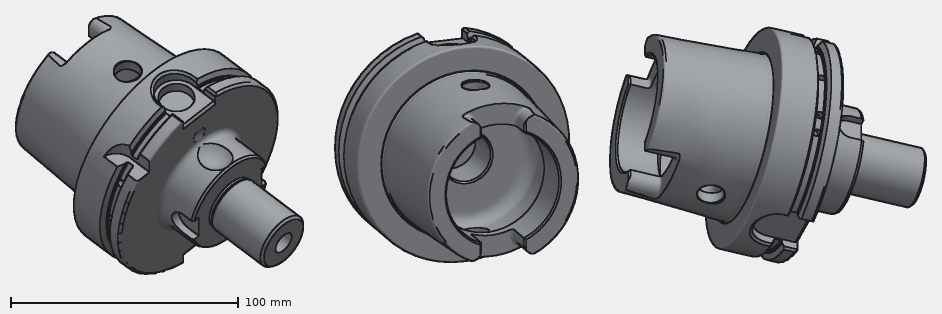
import cadquery as cq
import math

ARC_IN = 1 - math.sqrt(0.5)
ARC_OUT = math.sqrt(0.5)

TAPER_END = 48.0
FLANGE_FACE = 49.9
FLANGE_BACK = 79.0
COLLAR_END = 98.0
TOTAL_LENGTH = 131.0

FLANGE_DIAMETER = 100.0
FLANGE_R = FLANGE_DIAMETER / 2
TAPER_TIP_R = 35.5
TAPER_SLOPE = 0.05
COLLAR_R = 24.0
SHANK_R = 13.5

TIP_ROUND = 0.9
UNDERCUT_R = 37.7
UNDERCUT_START = 48.7
UNDERCUT_FACE_R = 38.8
UNDERCUT_FACE_DEPTH = 0.3
UNDERCUT_ROUND = 0.7

BACK_RIM_ROUND = 1.2
FRONT_RIM_ROUND = 1.0
GROOVE_CENTER = 69.8
GROOVE_TOP_HALF = 3.1
GROOVE_WALL_HALF = 2.0
GROOVE_FLOOR_HALF = 1.5
GROOVE_WALL_R = 47.2
GROOVE_FLOOR_R = 46.0

COLLAR_FILLET = 2.9
EDGE_CHAMFER = 1.2
COLLAR_CHAMFER = 0.7
NECK_R = 13.1
NECK_LENGTH = 1.3
NECK_RUNOUT_END = 2.2

BORE_R = 26.5
BORE_CHAMFER = 0.8
SHOULDER_X = 19.5
RELIEF_R = 31.5
SHOULDER_ANGLE = 30.0
RELIEF_END = 39.5
FLOOR_FILLET = 5.9
SOCKET_R = 11.3
SOCKET_CHAMFER = 0.8
SOCKET_DEPTH = 19.6
THROUGH_R = 5.1
THROUGH_CHAMFER = 1.2

DRIVE_HALF_WIDTH = 10.0
DRIVE_TOP_DEPTH = 10.0
DRIVE_BOTTOM_DEPTH = 14.9
DRIVE_SIDE_ROUND = 5.0
DRIVE_SIDE_ROUND_START = 27.2
DRIVE_FLOOR_FILLET = 1.6
DRIVE_TIP_CHAMFER = 0.8

CLAMP_HOLE_X = 34.7
CLAMP_HOLE_R = 6.0
CLAMP_HOLE_CHAMFER = 0.4

KEY_CENTER_X = 64.8
KEY_HALF_WIDTH = 10.1
KEY_FLOOR_R = 44.0
KEY_CHAMFER = 1.2
POCKET_R = 8.0
POCKET_DEPTH = 5.0

NOTCH_OFFSET = 31.3
NOTCH_R = 9.2
NOTCH_CENTER_X = 67.5

SMALL_HOLE_R = 1.6
SMALL_HOLE_DEPTH = 3.9
SMALL_HOLE_TIP = 0.9
SMALL_HOLE_ANGLES = (30.2, 5.1, -19.5, -29.7)

COLLAR_SLOT_HALF = 6.2
COLLAR_SLOT_CENTER_X = 91.7
COLLAR_SLOT_FLOOR = 19.6
DIMPLE_X = 88.8
DIMPLE_R = 10.5
DIMPLE_CENTER_Z = 30.5


def taper_radius(x):
    return TAPER_TIP_R + TAPER_SLOPE * x


def make_outside():
    undercut_end = FLANGE_FACE + UNDERCUT_FACE_DEPTH
    groove_step_r = GROOVE_FLOOR_R + GROOVE_WALL_HALF - GROOVE_FLOOR_HALF
    profile = (
        cq.Workplane("XY")
        .moveTo(0, 0)
        .lineTo(0, TAPER_TIP_R - TIP_ROUND)
        .threePointArc(
            (TIP_ROUND * ARC_IN, TAPER_TIP_R - TIP_ROUND * ARC_IN),
            (TIP_ROUND, taper_radius(TIP_ROUND)),
        )
        .lineTo(TAPER_END, taper_radius(TAPER_END))
        .lineTo(UNDERCUT_START, UNDERCUT_R)
        .lineTo(undercut_end - UNDERCUT_ROUND, UNDERCUT_R)
        .threePointArc(
            (undercut_end - UNDERCUT_ROUND * ARC_IN, UNDERCUT_R + UNDERCUT_ROUND * ARC_IN),
            (undercut_end, UNDERCUT_R + UNDERCUT_ROUND),
        )
        .lineTo(FLANGE_FACE, UNDERCUT_FACE_R)
        .lineTo(FLANGE_FACE, FLANGE_R - FRONT_RIM_ROUND)
        .threePointArc(
            (FLANGE_FACE + FRONT_RIM_ROUND * ARC_IN, FLANGE_R - FRONT_RIM_ROUND * ARC_IN),
            (FLANGE_FACE + FRONT_RIM_ROUND, FLANGE_R),
        )
        .lineTo(GROOVE_CENTER - GROOVE_TOP_HALF, FLANGE_R)
        .lineTo(GROOVE_CENTER - GROOVE_WALL_HALF, GROOVE_WALL_R)
        .lineTo(GROOVE_CENTER - GROOVE_WALL_HALF, groove_step_r)
        .lineTo(GROOVE_CENTER - GROOVE_FLOOR_HALF, GROOVE_FLOOR_R)
        .lineTo(GROOVE_CENTER + GROOVE_FLOOR_HALF, GROOVE_FLOOR_R)
        .lineTo(GROOVE_CENTER + GROOVE_WALL_HALF, groove_step_r)
        .lineTo(GROOVE_CENTER + GROOVE_WALL_HALF, GROOVE_WALL_R)
        .lineTo(GROOVE_CENTER + GROOVE_TOP_HALF, FLANGE_R)
        .lineTo(FLANGE_BACK - BACK_RIM_ROUND, FLANGE_R)
        .threePointArc(
            (FLANGE_BACK - BACK_RIM_ROUND * ARC_IN, FLANGE_R - BACK_RIM_ROUND * ARC_IN),
            (FLANGE_BACK, FLANGE_R - BACK_RIM_ROUND),
        )
        .lineTo(FLANGE_BACK, COLLAR_R + COLLAR_FILLET)
        .threePointArc(
            (FLANGE_BACK + COLLAR_FILLET * ARC_IN, COLLAR_R + COLLAR_FILLET * ARC_IN),
            (FLANGE_BACK + COLLAR_FILLET, COLLAR_R),
        )
        .lineTo(COLLAR_END - EDGE_CHAMFER, COLLAR_R)
        .lineTo(COLLAR_END, COLLAR_R - COLLAR_CHAMFER)
        .lineTo(COLLAR_END, NECK_R)
        .lineTo(COLLAR_END + NECK_LENGTH, NECK_R)
        .lineTo(COLLAR_END + NECK_RUNOUT_END, SHANK_R)
        .lineTo(TOTAL_LENGTH - EDGE_CHAMFER, SHANK_R)
        .lineTo(TOTAL_LENGTH, SHANK_R - EDGE_CHAMFER)
        .lineTo(TOTAL_LENGTH, 0)
        .close()
    )
    return profile.revolve(360, (0, 0, 0), (1, 0, 0))


def make_inside():
    relief_start = SHOULDER_X + (RELIEF_R - BORE_R) * math.tan(math.radians(SHOULDER_ANGLE))
    floor_x = RELIEF_END + FLOOR_FILLET
    socket_end = floor_x + SOCKET_DEPTH
    arc_reach = FLOOR_FILLET * ARC_OUT
    profile = (
        cq.Workplane("XY")
        .moveTo(0, 0)
        .lineTo(0, BORE_R + BORE_CHAMFER)
        .lineTo(BORE_CHAMFER, BORE_R)
        .lineTo(SHOULDER_X, BORE_R)
        .lineTo(relief_start, RELIEF_R)
        .lineTo(RELIEF_END, RELIEF_R)
        .threePointArc(
            (RELIEF_END + arc_reach, RELIEF_R - FLOOR_FILLET + arc_reach),
            (floor_x, RELIEF_R - FLOOR_FILLET),
        )
        .lineTo(floor_x, SOCKET_R + SOCKET_CHAMFER)
        .lineTo(floor_x + SOCKET_CHAMFER, SOCKET_R)
        .lineTo(socket_end, SOCKET_R)
        .lineTo(socket_end, THROUGH_R + THROUGH_CHAMFER)
        .lineTo(socket_end + THROUGH_CHAMFER, THROUGH_R)
        .lineTo(TOTAL_LENGTH, THROUGH_R)
        .lineTo(TOTAL_LENGTH, 0)
        .close()
    )
    return profile.revolve(360, (0, 0, 0), (1, 0, 0))


def make_drive_slot(depth):
    """Slot in the +Z side of the taper tip, with side walls that round outward."""
    reach = FLANGE_R
    arc_end_y = DRIVE_HALF_WIDTH + DRIVE_SIDE_ROUND
    round_end = DRIVE_SIDE_ROUND_START + DRIVE_SIDE_ROUND
    arc_in = DRIVE_SIDE_ROUND * ARC_IN
    arc_up = DRIVE_SIDE_ROUND * ARC_OUT
    section = (
        cq.Workplane("YZ")
        .moveTo(-DRIVE_HALF_WIDTH, 0)
        .lineTo(-DRIVE_HALF_WIDTH, DRIVE_SIDE_ROUND_START)
        .threePointArc(
            (-DRIVE_HALF_WIDTH - arc_in, DRIVE_SIDE_ROUND_START + arc_up),
            (-arc_end_y, round_end),
        )
        .lineTo(-reach, round_end)
        .lineTo(-reach, reach)
        .lineTo(reach, reach)
        .lineTo(reach, round_end)
        .lineTo(arc_end_y, round_end)
        .threePointArc(
            (DRIVE_HALF_WIDTH + arc_in, DRIVE_SIDE_ROUND_START + arc_up),
            (DRIVE_HALF_WIDTH, DRIVE_SIDE_ROUND_START),
        )
        .lineTo(DRIVE_HALF_WIDTH, 0)
        .close()
    )
    slot = section.extrude(depth)
    side_walls = slot.faces(">X").edges("not(<Z or >Z or <Y or >Y)")
    slot = side_walls.fillet(DRIVE_FLOOR_FILLET)
    tip_chamfer = (
        cq.Workplane("XY")
        .moveTo(0, -DRIVE_HALF_WIDTH - DRIVE_TIP_CHAMFER)
        .lineTo(DRIVE_TIP_CHAMFER, -DRIVE_HALF_WIDTH)
        .lineTo(DRIVE_TIP_CHAMFER, DRIVE_HALF_WIDTH)
        .lineTo(0, DRIVE_HALF_WIDTH + DRIVE_TIP_CHAMFER)
        .close()
        .extrude(reach)
    )
    return slot.union(tip_chamfer)


def turned(shape, angle):
    """The shape turned about the X axis."""
    return shape.rotate((0, 0, 0), (1, 0, 0), angle)


def make_clamp_hole():
    """Half of the cross hole, on the +Z side, with its mouth flared to a chamfer."""
    flare_height = 2 * CLAMP_HOLE_CHAMFER
    flare_z = taper_radius(CLAMP_HOLE_X) - flare_height
    hole = cq.Workplane("XY").center(CLAMP_HOLE_X, 0).circle(CLAMP_HOLE_R).extrude(FLANGE_R)
    mouth = (
        cq.Workplane("XY", origin=(CLAMP_HOLE_X, 0, flare_z))
        .circle(CLAMP_HOLE_R)
        .workplane(offset=flare_height)
        .circle(CLAMP_HOLE_R + CLAMP_HOLE_CHAMFER)
        .loft()
    )
    return hole.union(mouth)


def make_round_end_slot(center_x, half_width, end_x, floor_z):
    """Slot open toward +X and +Z, with a round end at center_x."""
    return (
        cq.Workplane("XY", origin=(0, 0, floor_z))
        .moveTo(end_x, -half_width)
        .lineTo(center_x, -half_width)
        .threePointArc((center_x - half_width, 0), (center_x, half_width))
        .lineTo(end_x, half_width)
        .close()
        .extrude(FLANGE_R - floor_z)
    )


def make_key_slot():
    """Key slot opening on the +Z side, with its rim chamfered where it breaks the flange surface."""
    slot = make_round_end_slot(KEY_CENTER_X, KEY_HALF_WIDTH, FLANGE_BACK, KEY_FLOOR_R)
    disc = (
        cq.Workplane("YZ", origin=(FLANGE_FACE, 0, 0))
        .circle(FLANGE_R)
        .extrude(FLANGE_BACK - FLANGE_FACE)
    )
    rim_bottom = (KEY_FLOOR_R + FLANGE_R) / 2
    rim = cq.selectors.BoxSelector(
        (KEY_CENTER_X - 2 * KEY_HALF_WIDTH, -KEY_HALF_WIDTH - KEY_CHAMFER, rim_bottom),
        (FLANGE_BACK - KEY_CHAMFER, KEY_HALF_WIDTH + KEY_CHAMFER, FLANGE_R + KEY_CHAMFER),
    )
    floor_end = cq.selectors.NearestToPointSelector((FLANGE_BACK, 0, KEY_FLOOR_R))
    slotted_disc = disc.cut(slot).edges(rim).chamfer(KEY_CHAMFER)
    slotted_disc = slotted_disc.edges(floor_end).chamfer(KEY_CHAMFER)
    return disc.cut(slotted_disc)


def make_pocket():
    """Round pocket sunk into the floor of the +Z key slot."""
    floor_z = KEY_FLOOR_R - POCKET_DEPTH
    return cq.Workplane("XY", origin=(KEY_CENTER_X, 0, floor_z)).circle(POCKET_R).extrude(POCKET_DEPTH)


def make_notch():
    """Square corner notch at 45 degrees between -Y and +Z, with a round end."""
    slot = make_round_end_slot(NOTCH_CENTER_X, NOTCH_R, FLANGE_BACK, NOTCH_OFFSET)
    return slot.translate((0, -NOTCH_OFFSET - NOTCH_R, 0))


def make_small_hole():
    """Radial hole with a drill point, in the groove floor on the -Y side."""
    inner_y = -GROOVE_FLOOR_R + SMALL_HOLE_DEPTH
    return (
        cq.Workplane("XY")
        .moveTo(GROOVE_CENTER, inner_y + SMALL_HOLE_TIP)
        .lineTo(GROOVE_CENTER + SMALL_HOLE_R, inner_y)
        .lineTo(GROOVE_CENTER + SMALL_HOLE_R, -GROOVE_WALL_R)
        .lineTo(GROOVE_CENTER, -GROOVE_WALL_R)
        .close()
        .revolve(360, (GROOVE_CENTER, 0, 0), (GROOVE_CENTER, 1, 0))
    )


def make_collar_slot():
    """Round-ended slot on the +Z side of the collar."""
    return make_round_end_slot(COLLAR_SLOT_CENTER_X, COLLAR_SLOT_HALF, COLLAR_END, COLLAR_SLOT_FLOOR)


def make_dimple():
    return cq.Workplane("XY").sphere(DIMPLE_R).translate((DIMPLE_X, 0, DIMPLE_CENTER_Z))


cutters = [
    make_inside(),
    make_drive_slot(DRIVE_TOP_DEPTH),
    turned(make_drive_slot(DRIVE_BOTTOM_DEPTH), 180),
    make_pocket(),
    make_notch(),
    make_dimple(),
]
for angle in (0, 180):
    cutters.append(turned(make_clamp_hole(), angle))
    cutters.append(turned(make_key_slot(), angle))
for angle in (90, -90):
    cutters.append(turned(make_collar_slot(), angle))
for angle in SMALL_HOLE_ANGLES:
    cutters.append(turned(make_small_hole(), -angle))

result = make_outside()
for cutter in cutters:
    result = result.cut(cutter)